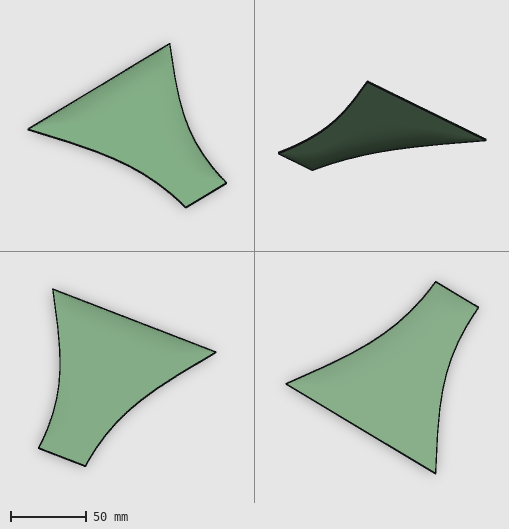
import cadquery as cq

length = 116.7
wide_end = 119.1
narrow_end = 34.2
thickness = 1.0

waist_x = 71.4
waist_half_width = 23.5
flare_direction = (1.0, -0.6)
end_direction = (1.0, 0.0)


def make_half_plate():
    """The half of the plate above the X axis."""
    flared_edge = [
        (0, wide_end / 2),
        (waist_x, waist_half_width),
        (length, narrow_end / 2),
    ]
    return (
        cq.Workplane("XY")
        .lineTo(*flared_edge[0])
        .spline(flared_edge[1:], tangents=[flare_direction, end_direction], includeCurrent=True)
        .lineTo(length, 0)
        .close()
        .extrude(thickness)
    )


half_plate = make_half_plate()
result = half_plate.union(half_plate.mirror("XZ")).clean()